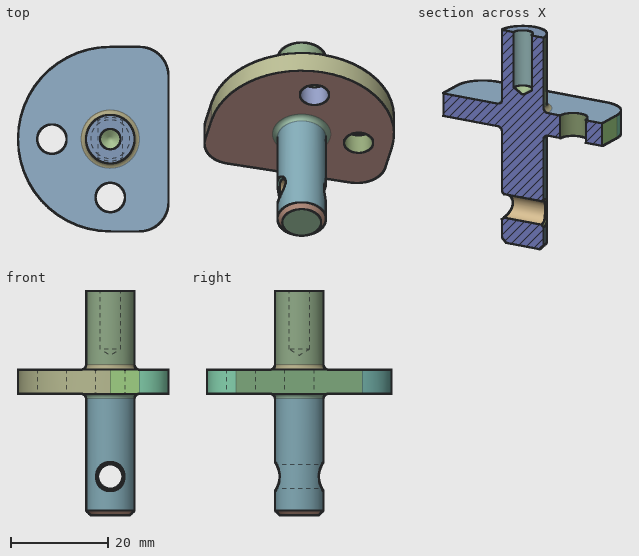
import cadquery as cq
import math

plate_radius = 19.0
plate_thickness = 5.0
flat_edge_offset = 12.0
corner_radius = 6.0

pin_diameter = 10.0
pin_length_above = 16.2
pin_length_below = 25.0
root_fillet = 1.0
tip_chamfer = 1.0

mounting_hole_diameter = 6.0
mounting_hole_offset = 12.0

cross_hole_diameter = 5.0
cross_hole_height = 8.0
cross_hole_chamfer = 0.5

bore_diameter = 4.2
bore_depth = 12.0
drill_point_angle = 118.0

pin_top = plate_thickness + pin_length_above
pin_tip = -pin_length_below


def make_plate():
    outline = (
        cq.Workplane("XY")
        .moveTo(0, plate_radius)
        .threePointArc((-plate_radius, 0), (0, -plate_radius))
        .lineTo(flat_edge_offset, -plate_radius)
        .lineTo(flat_edge_offset, plate_radius)
        .close()
    )
    plate = outline.extrude(plate_thickness)
    return plate.edges("|Z and >X").fillet(corner_radius)


def make_lower_pin():
    """Pin below the plate, with a chamfered tip and a chamfered cross hole."""
    pin = (
        cq.Workplane("XY")
        .circle(pin_diameter / 2)
        .extrude(-pin_length_below)
        .faces("<Z")
        .chamfer(tip_chamfer)
    )
    cross_hole_z = pin_tip + cross_hole_height
    drill = (
        cq.Workplane("XZ")
        .center(0, cross_hole_z)
        .circle(cross_hole_diameter / 2)
        .extrude(pin_diameter, both=True)
    )
    rim_reach = cross_hole_diameter / 2 + cross_hole_chamfer
    rim_box = cq.selectors.BoxSelector(
        (-rim_reach, -pin_diameter, cross_hole_z - rim_reach),
        (rim_reach, pin_diameter, cross_hole_z + rim_reach),
        boundingbox=True,
    )
    drilled_pin = pin.cut(drill)
    return drilled_pin.edges(rim_box).edges("not #Z").chamfer(cross_hole_chamfer)


def make_upper_pin():
    return (
        cq.Workplane("XY", origin=(0, 0, plate_thickness))
        .circle(pin_diameter / 2)
        .extrude(pin_length_above)
    )


def make_root_fillet(plate_face, direction):
    """Ring with a concave quarter-round between the pin and a plate face."""
    pin_radius = pin_diameter / 2
    outer_radius = pin_radius + root_fillet
    fillet_end = plate_face + direction * root_fillet
    mid_offset = root_fillet * (1 - math.sqrt(0.5))
    return (
        cq.Workplane("XZ")
        .moveTo(0, plate_face)
        .lineTo(outer_radius, plate_face)
        .threePointArc(
            (pin_radius + mid_offset, plate_face + direction * mid_offset),
            (pin_radius, fillet_end),
        )
        .lineTo(0, fillet_end)
        .close()
        .revolve(360, (0, 0, 0), (0, 1, 0))
    )


def make_bore():
    bore_radius = bore_diameter / 2
    point_height = bore_radius / math.tan(math.radians(drill_point_angle / 2))
    bore_floor = pin_top - bore_depth
    return (
        cq.Workplane("XZ")
        .moveTo(0, pin_top)
        .lineTo(bore_radius, pin_top)
        .lineTo(bore_radius, bore_floor)
        .lineTo(0, bore_floor - point_height)
        .close()
        .revolve(360, (0, 0, 0), (0, 1, 0))
    )


def make_mounting_holes():
    return (
        cq.Workplane("XY")
        .pushPoints([(-mounting_hole_offset, 0), (0, -mounting_hole_offset)])
        .circle(mounting_hole_diameter / 2)
        .extrude(plate_thickness)
    )


result = (
    make_plate()
    .union(make_lower_pin())
    .union(make_upper_pin())
    .union(make_root_fillet(plate_thickness, 1))
    .union(make_root_fillet(0, -1))
    .cut(make_mounting_holes())
    .cut(make_bore())
)